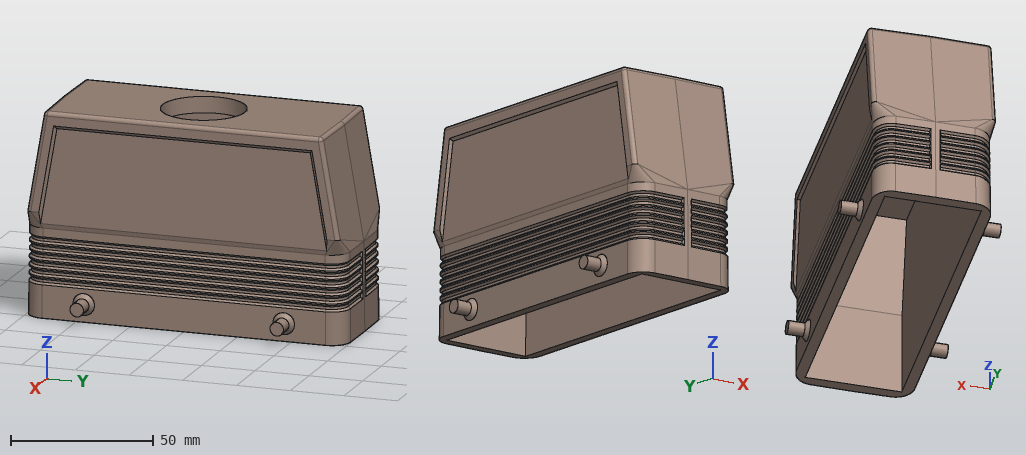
import cadquery as cq
import math

TOTAL_HEIGHT = 76.0
BASE_HEIGHT = 33.0
FLARE_HEIGHT = 6.0
FLARE_TOP = BASE_HEIGHT + FLARE_HEIGHT

BASE_HALF_X_BOTTOM = 21.55
BASE_HALF_X_TOP = 21.25
BASE_HALF_Y_BOTTOM = 60.0
BASE_HALF_Y_TOP = 59.65
BASE_CORNER_RADIUS = 7.0
BASE_END_SLOPE = math.tan(math.radians(0.65))

HOOD_HALF_X = 22.5
HOOD_END_LEAN = math.tan(math.radians(9.8))
HOOD_END_SLOPE = math.tan(math.radians(1.25))
HOOD_EDGE_RADIUS = 1.5

GROOVE_COUNT = 6
GROOVE_PITCH = 3.0
GROOVE_DEPTH = 0.8
GROOVE_FLOOR = 1.0
RIDGE_LAND = 0.5
GRIP_BOTTOM = 12.0
GRIP_TOP = GRIP_BOTTOM + GROOVE_COUNT * GROOVE_PITCH
END_BAR_WIDTH = 3.0
END_BAR_FLARE = 0.6

PANEL_DEPTH = 0.9
PANEL_TOP = 71.1
PANEL_TOP_HALF_Y = 48.1
PANEL_BEVEL = 1.1

PEG_TIP_X = 29.0
PEG_DIAMETER = 5.0
PEG_Y = 37.25
PEG_Z = 6.5
COLLAR_DIAMETER = 8.0
COLLAR_END_X = 23.1

WALL = 4.0
ROOF = 6.0
CABLE_HOLE_DIAMETER = 30.6


def base_half_x(z):
    return BASE_HALF_X_BOTTOM + (BASE_HALF_X_TOP - BASE_HALF_X_BOTTOM) * z / BASE_HEIGHT


def base_half_y(z):
    return BASE_HALF_Y_BOTTOM + (BASE_HALF_Y_TOP - BASE_HALF_Y_BOTTOM) * z / BASE_HEIGHT


def hood_half_y(z):
    return BASE_HALF_Y_TOP - (z - BASE_HEIGHT) * HOOD_END_LEAN


def section(half_x, half_y, end_slope, z, corner_radius=0.0):
    """Closed wire at height z: a rectangle whose two Y ends are shallow V shapes."""
    corner_y = half_y - half_x * end_slope
    outline = [
        (0, half_y),
        (-half_x, corner_y),
        (-half_x, -corner_y),
        (0, -half_y),
        (half_x, -corner_y),
        (half_x, corner_y),
    ]
    wire = cq.Wire.makePolygon([cq.Vector(x, y, z) for x, y in outline], close=True)
    if corner_radius == 0:
        return wire
    corners = [v for v in wire.Vertices() if abs(v.X) > half_x / 2]
    return wire.fillet2D(corner_radius, corners)


def loft(*wires):
    return cq.Workplane(cq.Solid.makeLoft(list(wires), True))


def base_section(z, inset=0.0):
    return section(
        base_half_x(z) - inset,
        base_half_y(z) - inset,
        BASE_END_SLOPE,
        z,
        BASE_CORNER_RADIUS - inset,
    )


def make_base():
    """Tapered base whose grip band is a stack of grooves, bridged by a bar at each end."""
    plain = loft(base_section(0), base_section(BASE_HEIGHT))
    levels = [base_section(0)]
    for index in range(GROOVE_COUNT):
        middle = GRIP_BOTTOM + (index + 0.5) * GROOVE_PITCH
        mouth = (GROOVE_PITCH - RIDGE_LAND) / 2
        floor = GROOVE_FLOOR / 2
        levels.append(base_section(middle - mouth))
        levels.append(base_section(middle - floor, GROOVE_DEPTH))
        levels.append(base_section(middle + floor, GROOVE_DEPTH))
        levels.append(base_section(middle + mouth))
    levels.append(base_section(BASE_HEIGHT))
    grooved = loft(*levels)

    face_half = END_BAR_WIDTH / 2
    root_half = face_half + END_BAR_FLARE
    face_y = BASE_HALF_Y_BOTTOM
    root_y = BASE_HALF_Y_BOTTOM - WALL / 2
    floor_y = base_half_y(GRIP_TOP) - GROOVE_DEPTH
    bar = (
        cq.Workplane("XY")
        .workplane(offset=GRIP_BOTTOM)
        .polyline([
            (-root_half, root_y),
            (-root_half, floor_y),
            (-face_half, face_y),
            (face_half, face_y),
            (root_half, floor_y),
            (root_half, root_y),
        ])
        .close()
        .extrude(GRIP_TOP - GRIP_BOTTOM)
    )
    bars = bar.union(bar.mirror("XZ")).intersect(plain)
    return grooved.union(bars)


def make_flare():
    """Transition from the rounded base to the sharp-cornered hood, with triangular end facets."""
    hood_corner_x = HOOD_HALF_X - HOOD_EDGE_RADIUS
    facet_half_y = hood_half_y(FLARE_TOP) - hood_corner_x * (HOOD_END_SLOPE - BASE_END_SLOPE)
    skirt = loft(
        base_section(BASE_HEIGHT),
        section(HOOD_HALF_X, facet_half_y, BASE_END_SLOPE, FLARE_TOP, HOOD_EDGE_RADIUS),
    )
    flat_half_x = BASE_HALF_X_TOP - BASE_CORNER_RADIUS
    hood_ends = loft(
        section(flat_half_x, hood_half_y(BASE_HEIGHT), HOOD_END_SLOPE, BASE_HEIGHT),
        section(hood_corner_x, hood_half_y(FLARE_TOP), HOOD_END_SLOPE, FLARE_TOP),
    )
    return skirt.union(hood_ends)


def make_hood():
    """Leaning box rounded along its corners and roof; built as one half, then mirrored."""
    sharp = loft(
        section(HOOD_HALF_X, hood_half_y(FLARE_TOP), HOOD_END_SLOPE, FLARE_TOP),
        section(HOOD_HALF_X, hood_half_y(TOTAL_HEIGHT), HOOD_END_SLOPE, TOTAL_HEIGHT),
    )
    half_space = cq.Workplane("XY").box(
        HOOD_HALF_X, 2 * BASE_HALF_Y_BOTTOM, TOTAL_HEIGHT, centered=(False, True, False)
    )
    half = sharp.intersect(half_space)
    rounded_edges = half.faces(">X").edges("not <Z").add(half.faces(">Z").edges("not <X"))
    half = rounded_edges.fillet(HOOD_EDGE_RADIUS)
    return half.union(half.mirror("YZ"))


def panel_section(x, inset):
    """Trapezoid at the given X whose slanted sides run parallel to the hood ends."""
    top_half = PANEL_TOP_HALF_Y - inset
    bottom_half = top_half + (PANEL_TOP - BASE_HEIGHT) * HOOD_END_LEAN
    top = PANEL_TOP - inset
    top_half += inset * HOOD_END_LEAN
    return cq.Wire.makePolygon(
        [
            cq.Vector(x, -bottom_half, BASE_HEIGHT),
            cq.Vector(x, bottom_half, BASE_HEIGHT),
            cq.Vector(x, top_half, top),
            cq.Vector(x, -top_half, top),
        ],
        close=True,
    )


def make_panel_recesses():
    """Bevelled shallow recesses, open towards the flare below."""
    recess = loft(
        panel_section(HOOD_HALF_X - PANEL_DEPTH, PANEL_BEVEL),
        panel_section(HOOD_HALF_X, 0),
    )
    return recess.union(recess.mirror("YZ"))


def make_pegs():
    """Four pegs, each a cylinder on a conical collar rooted inside the wall."""
    root_x = base_half_x(0) - WALL / 2
    collar_x = base_half_x(PEG_Z)
    peg_radius = PEG_DIAMETER / 2
    peg = (
        cq.Workplane("XY")
        .polyline([
            (root_x, 0),
            (root_x, COLLAR_DIAMETER / 2),
            (collar_x, COLLAR_DIAMETER / 2),
            (COLLAR_END_X, peg_radius),
            (PEG_TIP_X, peg_radius),
            (PEG_TIP_X, 0),
        ])
        .close()
        .revolve(360, (0, 0, 0), (1, 0, 0))
    )
    pair = peg.union(peg.mirror("YZ")).translate((0, PEG_Y, PEG_Z))
    return pair.union(pair.mirror("XZ"))


def make_cavity():
    """Open-bottomed hollow that follows the slopes of the base and hood ends."""
    cavity_top = TOTAL_HEIGHT - ROOF
    floor_half = BASE_HALF_Y_BOTTOM - WALL
    bend_half = BASE_HALF_Y_TOP - WALL
    top_half = hood_half_y(cavity_top) - WALL
    half_x = BASE_HALF_X_BOTTOM - WALL
    return (
        cq.Workplane("YZ")
        .polyline([
            (-floor_half, 0),
            (floor_half, 0),
            (bend_half, BASE_HEIGHT),
            (top_half, cavity_top),
            (-top_half, cavity_top),
            (-bend_half, BASE_HEIGHT),
        ])
        .close()
        .extrude(half_x, both=True)
    )


def make_cable_hole():
    return (
        cq.Workplane("XY")
        .workplane(offset=BASE_HEIGHT)
        .circle(CABLE_HOLE_DIAMETER / 2)
        .extrude(TOTAL_HEIGHT - BASE_HEIGHT)
    )


body = make_base().union(make_flare()).union(make_hood()).union(make_pegs())
result = body.cut(make_panel_recesses()).cut(make_cavity()).cut(make_cable_hole())